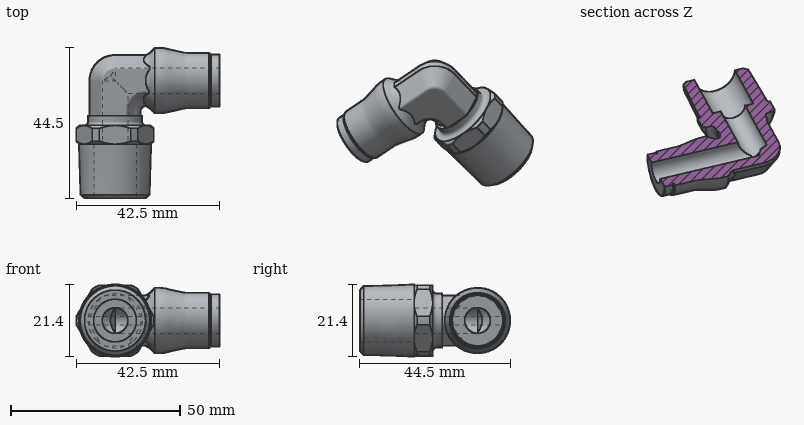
import cadquery as cq
import math


collar_start = 10.45
collar_end = 12.05
collar_radius = 8.0
hex_start = 13.25
hex_end = 18.8
hex_apothem = 10.5
hex_corner_radius = 11.5
hex_chamfer_length = 0.9
thread_end = 34.8
thread_radius = 10.72
thread_taper = 1 / 32
thread_chamfer_length = 1.1
thread_tip_radius = 9.05

neck_start = 8.45
neck_bend = 9.4
shoulder_start = 10.25
shoulder_end = 11.75
neck_start_radius = 7.1
neck_bend_radius = 7.7
shoulder_start_radius = 8.2
socket_radius = 9.7
flare_start = 13.57
flare_end = 21.35
flare_blend_length = 1.35
sleeve_end = 27.95
sleeve_radius = 8.25
sleeve_chamfer = 0.2
groove_end = 28.3
groove_radius = 7.3
collet_end = 31.0
collet_radius = 7.8
collet_back_chamfer = 0.15
collet_front_chamfer = 0.25

body_half_height = 7.48
outer_slant_distance = 7.1
inner_slant_distance = 6.8
slant_angle = math.radians(30)
edge_fillet = 1.02
outer_nose_radius = 7.6
rib_reach = 7.6
rib_radius = 4.9
rib_root_radius = 1.8
bend_center = 9.0
web_overlap = 0.45

bore_radius = 3.8
drill_point_half_angle = math.radians(60)
counterbore_radius = 6.3


def polar(center_x, radius, angle):
    """Point at an angle on a circle centered at (center_x, 0)."""
    return center_x + radius * math.cos(angle), radius * math.sin(angle)


def half_section(slant_distance, nose, nose_center, nose_start_angle, root=None):
    """One side of the body section, from the leg axis out to the nose, drawn on the XZ plane.

    nose is the radius of the rounded tip. root is the (start, middle, end) of a hollow
    arc joining the slanted face to the nose.
    """
    fillet_z = body_half_height - edge_fillet
    fillet_x = (slant_distance - edge_fillet - fillet_z * math.sin(slant_angle)) / math.cos(slant_angle)

    def on_fillet(angle):
        x, z = polar(fillet_x, edge_fillet, angle)
        return x, z + fillet_z

    nose_start = polar(nose_center, nose, nose_start_angle)
    fillet_middle = (slant_angle + math.pi / 2) / 2

    def flip(point):
        return point[0], -point[1]

    section = cq.Workplane("XZ").moveTo(0, -body_half_height).lineTo(0, body_half_height)
    section = section.lineTo(fillet_x, body_half_height)
    section = section.threePointArc(on_fillet(fillet_middle), on_fillet(slant_angle))
    if root:
        section = section.lineTo(*root[0]).threePointArc(root[1], root[2])
    else:
        section = section.lineTo(*nose_start)
    section = section.threePointArc((nose_center + nose, 0), flip(nose_start))
    if root:
        section = section.threePointArc(flip(root[1]), flip(root[0]))
    section = section.lineTo(*flip(on_fillet(slant_angle)))
    section = section.threePointArc(flip(on_fillet(fillet_middle)), (fillet_x, -body_half_height))
    return section.close()


def outer_section():
    """Half section whose slanted faces meet in a nose rounded about the leg axis."""
    nose_angle = slant_angle - math.acos(outer_slant_distance / outer_nose_radius)
    return half_section(outer_slant_distance, outer_nose_radius, 0, nose_angle)


def inner_section():
    """Half section with a rounded rib that blends into the slanted faces."""
    rib_center = rib_reach - rib_radius
    gap = inner_slant_distance + rib_root_radius - rib_center * math.cos(slant_angle)
    rib_angle = slant_angle + math.acos(gap / (rib_radius + rib_root_radius))
    root_x, root_z = polar(rib_center, rib_radius + rib_root_radius, rib_angle)

    def on_root(angle):
        x, z = polar(root_x, rib_root_radius, angle + math.pi)
        return x, z + root_z

    root = [on_root(a) for a in (slant_angle, (slant_angle + rib_angle) / 2, rib_angle)]
    return half_section(inner_slant_distance, rib_radius, rib_center, rib_angle, root)


def swap_legs(shape):
    """Turn a shape on the threaded leg over onto the tube leg."""
    return shape.rotate((0, 0, 0), (1, -1, 0), 180)


def elbow_body():
    """Two equal legs, rounded on the outside about the origin and on the inside about the bend center."""
    outer = outer_section().extrude(collar_start).mirror("YZ")
    straight = collar_start - bend_center
    inner = inner_section().extrude(straight).translate((0, -bend_center, 0))
    leg = outer.union(inner)
    outer_bend = outer_section().revolve(90, (0, 0), (0, 1)).rotate((0, 0, 0), (0, 0, 1), 90)
    inner_bend = inner_section().revolve(90, (bend_center, 0), (bend_center, -1))
    inner_bend = inner_bend.translate((0, -bend_center, 0))
    web = cq.Workplane("XY").rect(bend_center, -bend_center, centered=False)
    web = web.extrude(body_half_height, both=True)
    clearance = cq.Workplane("XY").center(bend_center, -bend_center).circle(bend_center - web_overlap)
    web = web.cut(clearance.extrude(body_half_height, both=True))
    return leg.union(swap_legs(leg)).union(outer_bend).union(web).union(inner_bend)


def collar():
    """Round collar that flares into the hexagon through a hollow fillet."""
    fillet = hex_start - collar_end
    profile = (
        cq.Workplane("XY")
        .moveTo(0, -collar_start)
        .lineTo(collar_radius, -collar_start)
        .lineTo(collar_radius, -collar_end)
        .radiusArc((collar_radius + fillet, -hex_start), -fillet)
        .lineTo(0, -hex_start)
        .close()
    )
    return profile.revolve(360, (0, 0), (0, 1))


def hexagon():
    """Wrench hexagon with flats facing up and down, corners turned round and both ends chamfered."""
    prism = (
        cq.Workplane("XZ", origin=(0, -hex_start, 0))
        .polygon(6, 2 * hex_apothem, circumscribed=True)
        .extrude(hex_end - hex_start)
        .rotate((0, 0, 0), (0, 1, 0), 30)
    )
    envelope = (
        cq.Workplane("XY")
        .polyline([
            (0, -hex_start),
            (hex_apothem, -hex_start),
            (hex_corner_radius, -hex_start - hex_chamfer_length),
            (hex_corner_radius, -hex_end + hex_chamfer_length),
            (hex_apothem, -hex_end),
            (0, -hex_end),
        ])
        .close()
        .revolve(360, (0, 0), (0, 1))
    )
    return prism.intersect(envelope)


def thread():
    """Plain tapered cone standing for the thread, with a chamfered tip."""
    chamfer_start = thread_end - thread_chamfer_length
    small_radius = thread_radius - thread_taper * (chamfer_start - hex_end)
    profile = cq.Workplane("XY").polyline([
        (0, -hex_end),
        (thread_radius, -hex_end),
        (small_radius, -chamfer_start),
        (thread_tip_radius, -thread_end),
        (0, -thread_end),
    ])
    return profile.close().revolve(360, (0, 0), (0, 1))


def tube_socket():
    """Turned neck, shoulder, flare, sleeve and collet of the tube leg."""
    cone_length = flare_end - flare_start - 2 * flare_blend_length
    flare_drop = socket_radius - sleeve_radius
    blend_drop = flare_drop * flare_blend_length / 2 / (cone_length + flare_blend_length)
    profile = (
        cq.Workplane("XY")
        .moveTo(neck_start, 0)
        .lineTo(neck_start, neck_start_radius)
        .lineTo(neck_bend, neck_bend_radius)
        .lineTo(shoulder_start, shoulder_start_radius)
        .lineTo(shoulder_end, socket_radius)
        .lineTo(flare_start, socket_radius)
        .tangentArcPoint((flare_start + flare_blend_length, socket_radius - blend_drop), relative=False)
        .lineTo(flare_end - flare_blend_length, sleeve_radius + blend_drop)
        .tangentArcPoint((flare_end, sleeve_radius), relative=False)
        .lineTo(sleeve_end - sleeve_chamfer, sleeve_radius)
        .lineTo(sleeve_end, sleeve_radius - sleeve_chamfer)
        .lineTo(sleeve_end, groove_radius)
        .lineTo(groove_end, groove_radius)
        .lineTo(groove_end, collet_radius - collet_back_chamfer)
        .lineTo(groove_end + collet_back_chamfer, collet_radius)
        .lineTo(collet_end - collet_front_chamfer, collet_radius)
        .lineTo(collet_end, collet_radius - collet_front_chamfer)
        .lineTo(collet_end, 0)
        .close()
    )
    return profile.revolve(360, (0, 0), (1, 0))


def drilled_bore(depth):
    """Bore up the threaded leg, ending in a drill point just past the origin."""
    point_length = bore_radius / math.tan(drill_point_half_angle)
    profile = cq.Workplane("XY").polyline([
        (0, -depth),
        (bore_radius, -depth),
        (bore_radius, 0),
        (0, point_length),
    ])
    return profile.close().revolve(360, (0, 0), (0, 1))


def counterbore():
    """Wide bore from the thread tip up to the hexagon."""
    mouth = cq.Workplane("XZ", origin=(0, -hex_end, 0)).circle(counterbore_radius)
    return mouth.extrude(thread_end - hex_end)


solid = elbow_body().union(collar()).union(hexagon()).union(thread()).union(tube_socket())
result = solid.cut(drilled_bore(thread_end)).cut(swap_legs(drilled_bore(collet_end))).cut(counterbore())